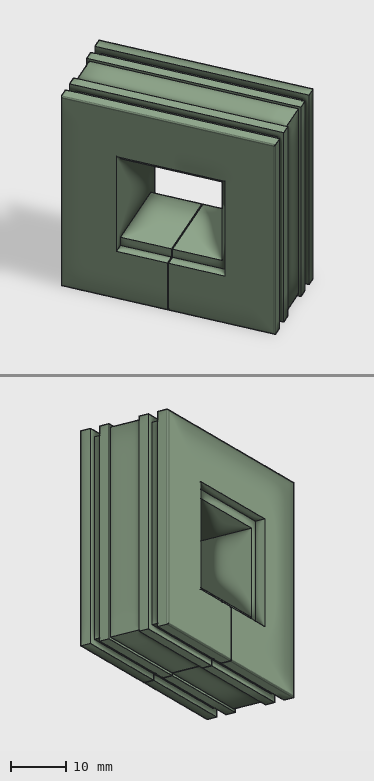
import cadquery as cq

WIDTH = 41.5
DEPTH = 19.0
HEIGHT = 42.0
EDGE_RADIUS = 0.25

RIB_WIDTH = 2.0
GROOVE_WIDTH = 2.0
MIDDLE_BAND_WIDTH = 6.5
MIDDLE_BAND_DEPTH = 0.5
GROOVE_DEPTH = 1.25
GROOVE_CENTRE = MIDDLE_BAND_WIDTH / 2 + RIB_WIDTH + GROOVE_WIDTH / 2

OPENING_LEFT = -10.0
BORE_WIDTH = 19.7
BORE_HEIGHT = 17.4
RECESS_SIZE = 21.0
RECESS_DEPTH = 2.0
RECESS_CENTRE_Y = (DEPTH - RECESS_DEPTH) / 2

SLIT_WIDTH = 0.2


def block():
    """Solid block with its end faces rounded all round."""
    body = cq.Workplane("XY").box(WIDTH, DEPTH, HEIGHT)
    return body.faces("<Y or >Y").edges().fillet(EDGE_RADIUS)


def outer_band(centre_y, band_width, band_depth):
    """Ring of material to remove around the outside of the block."""
    outside = cq.Workplane("XY").box(WIDTH, band_width, HEIGHT)
    core = cq.Workplane("XY").box(WIDTH - 2 * band_depth, band_width, HEIGHT - 2 * band_depth)
    return outside.cut(core).translate((0, centre_y, 0))


def opening(width, depth, height, centre_y):
    """Rectangular pocket that starts at the common -X wall of the opening."""
    pocket = cq.Workplane("XY").box(width, depth, height)
    return pocket.translate((OPENING_LEFT + width / 2, centre_y, 0))


def slit():
    """Thin cut through the bottom wall, from the opening to the outside."""
    cutter = cq.Workplane("XY").box(SLIT_WIDTH, DEPTH, HEIGHT / 2)
    return cutter.translate((0, 0, -HEIGHT / 4))


result = block().cut(outer_band(0, MIDDLE_BAND_WIDTH, MIDDLE_BAND_DEPTH))
result = result.cut(opening(BORE_WIDTH, DEPTH, BORE_HEIGHT, 0))
for side in (-1, 1):
    result = result.cut(outer_band(side * GROOVE_CENTRE, GROOVE_WIDTH, GROOVE_DEPTH))
    result = result.cut(opening(RECESS_SIZE, RECESS_DEPTH, RECESS_SIZE, side * RECESS_CENTRE_Y))
result = result.cut(slit())